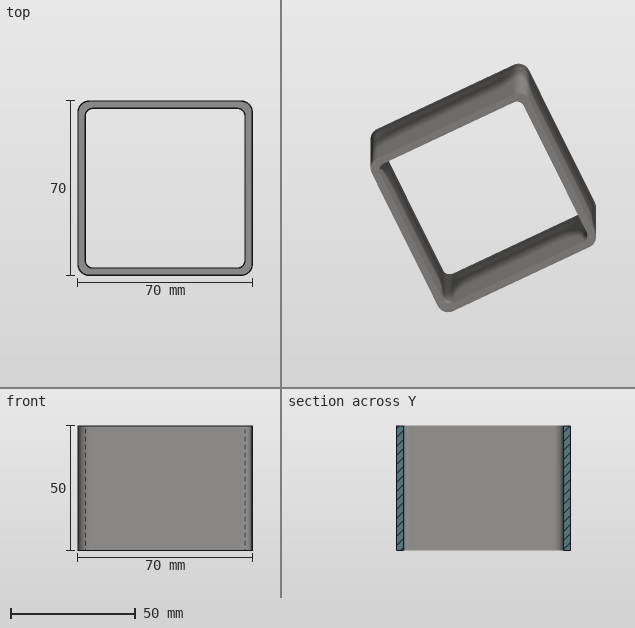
import cadquery as cq

side = 70.0
height = 50.0
wall = 3.0
outer_radius = 4.55
inner_radius = 3.0
bore_side = side - 2 * wall


def rounded_square_prism(width, corner_radius):
    """Upright square prism with rounded vertical edges, standing on Z = 0."""
    prism = cq.Workplane("XY").rect(width, width).extrude(height)
    return prism.edges("|Z").fillet(corner_radius)


outer_body = rounded_square_prism(side, outer_radius)
bore = rounded_square_prism(bore_side, inner_radius)

result = outer_body.cut(bore)